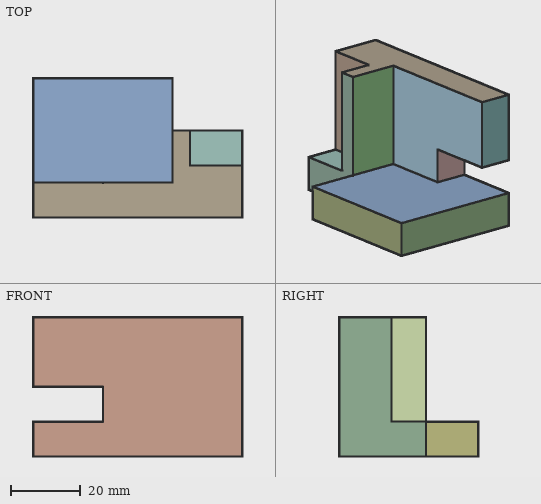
import cadquery as cq

length = 60
depth = length * 2 / 3
height = length * 2 / 3
thickness = length / 6

base_length = length * 2 / 3
block_depth = length / 4
slot_length = length / 3
slot_height = thickness

rib_thickness = length / 12
pocket_floor = thickness


def box(x, y, z, size_x, size_y, size_z):
    """Axis-aligned box placed by its lowest corner."""
    return cq.Workplane("XY").box(size_x, size_y, size_z, centered=False).translate((x, y, z))


base = box(0, 0, 0, base_length, depth, thickness)
front_wall = box(0, 0, 0, length, thickness, height)
rear_block = box(base_length, thickness, 0, length - base_length, block_depth, height)

slot = box(0, 0, thickness, slot_length, thickness, slot_height)

pocket_x = base_length + rib_thickness
pocket_y = thickness + rib_thickness
pocket = box(
    pocket_x,
    pocket_y,
    pocket_floor,
    length - pocket_x,
    thickness + block_depth - pocket_y,
    height - pocket_floor,
)

result = base.union(front_wall).union(rear_block).cut(slot).cut(pocket)